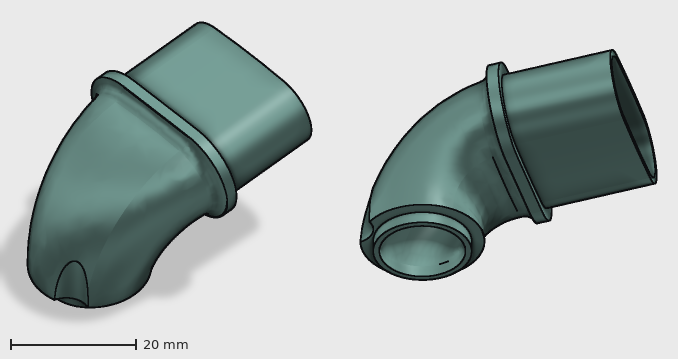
import cadquery as cq
import math

TILT = 5.0
WALL = 1.0
TUBE_HALF_WIDTH = 14.25
TUBE_HALF_HEIGHT = 6.75
TUBE_CORNER_ANGLE = 86.0
TUBE_LENGTH = 18.0

FLANGE_HALF_WIDTH = 16.25
FLANGE_HALF_HEIGHT = 8.55
FLANGE_CORNER_ANGLE = 89.7
FLANGE_THICKNESS = 2.0
FLANGE_Y = 15.0
FLANGE_Z = 16.35

NECK_LENGTH = 2.0
NECK_HALF_WIDTH = 14.0
NECK_HALF_HEIGHT = 7.33
NECK_CORNER_ANGLE = 85.0
NECK_DROP = 0.45
FLARE_INSET = 0.2
FLARE_START_ANGLE = 12.0
FLARE_SECTION_COUNT = 5

ELBOW_END_RADIUS = 9.95
SPIGOT_RADIUS = 15.8 / 2
BORE_RADIUS = 13.8 / 2
SPIGOT_LENGTH = 2.0
ROUND_CORNER_ANGLE = 45.0
BEND_SECTION_COUNT = 6
BEND_SAG = 0.3

NOTCH_RADIUS = 3.8
NOTCH_DISTANCE = 12.1
NOTCH_ANGLE = 30.0
NOTCH_HEIGHT = 13.65

tilt = math.radians(TILT)
axis_y, axis_z = math.cos(tilt), math.sin(tilt)
neck_y = FLANGE_Y - NECK_LENGTH * axis_y
neck_z = FLANGE_Z - NECK_LENGTH * axis_z

neck_distance = neck_z / math.cos(tilt)
pivot_y = neck_y + neck_distance * math.sin(tilt)

TUBE_SIZE = (TUBE_HALF_WIDTH, TUBE_HALF_HEIGHT, TUBE_CORNER_ANGLE)
NECK_SIZE = (NECK_HALF_WIDTH, NECK_HALF_HEIGHT, NECK_CORNER_ANGLE)
BORE_SIZE = (TUBE_HALF_WIDTH - WALL, TUBE_HALF_HEIGHT - WALL, TUBE_CORNER_ANGLE)


def oval(plane, half_width, half_height, corner_angle):
    """Oval of two end arcs joined tangentially by two shallow arcs.

    corner_angle is half the sweep of an end arc, in degrees.
    """
    cosine = math.cos(math.radians(corner_angle))
    sine = math.sin(math.radians(corner_angle))
    radius_difference = (half_width - half_height) / (sine + cosine - 1)
    side_x = radius_difference * cosine
    side_radius = half_width - side_x
    corner_x = side_x + side_radius * cosine
    corner_z = side_radius * sine
    return (
        cq.Workplane(plane)
        .moveTo(-corner_x, corner_z)
        .threePointArc((0, half_height), (corner_x, corner_z))
        .threePointArc((half_width, 0), (corner_x, -corner_z))
        .threePointArc((0, -half_height), (-corner_x, -corner_z))
        .threePointArc((-half_width, 0), (-corner_x, corner_z))
        .close()
    )


def socket_plane(offset, drop=0):
    """Plane across the socket axis, offset outward from the flange face and lowered by drop."""
    y = FLANGE_Y + offset * axis_y + drop * axis_z
    z = FLANGE_Z + offset * axis_z - drop * axis_y
    return cq.Plane(origin=(0, y, z), xDir=(-1, 0, 0), normal=(0, axis_y, axis_z))


def elbow_plane(fraction, start_distance):
    """Plane across the bend: 0 is the neck, 1 is the outlet."""
    angle = math.radians((90 - TILT) * (1 - fraction))
    distance = blend(start_distance, pivot_y, fraction) - BEND_SAG * math.sin(math.pi * fraction)
    origin = (0, pivot_y - distance * math.cos(angle), distance * math.sin(angle))
    normal = (0, math.sin(angle), math.cos(angle))
    return cq.Plane(origin=origin, xDir=(-1, 0, 0), normal=normal)


def blend(start, end, fraction):
    return start + (end - start) * fraction


def blend_sizes(start, end, fraction):
    return [blend(a, b, fraction) for a, b in zip(start, end)]


def bend(start_size, start_distance, end_radius):
    """Loft from an oval in the neck plane to a circle at the outlet."""
    end_size = (end_radius, end_radius, ROUND_CORNER_ANGLE)
    wires = []
    for i in range(BEND_SECTION_COUNT):
        fraction = i / (BEND_SECTION_COUNT - 1)
        plane = elbow_plane(fraction, start_distance)
        wires.append(oval(plane, *blend_sizes(start_size, end_size, fraction)).wires().val())
    return cq.Workplane(cq.Solid.makeLoft(wires))


def flared_neck():
    """Loft with a concave rounded profile from the flange face to the neck."""
    rim_size = (
        FLANGE_HALF_WIDTH - FLARE_INSET,
        FLANGE_HALF_HEIGHT - FLARE_INSET,
        FLANGE_CORNER_ANGLE,
    )
    start_angle = math.radians(FLARE_START_ANGLE)
    wires = []
    for i in range(FLARE_SECTION_COUNT):
        angle = blend(start_angle, math.pi / 2, i / (FLARE_SECTION_COUNT - 1))
        fraction = (math.sin(angle) - math.sin(start_angle)) / (1 - math.sin(start_angle))
        depth = NECK_LENGTH * (1 - math.cos(angle) / math.cos(start_angle))
        plane = socket_plane(-depth, NECK_DROP * fraction)
        wires.append(oval(plane, *blend_sizes(rim_size, NECK_SIZE, fraction)).wires().val())
    return cq.Workplane(cq.Solid.makeLoft(wires))


def socket():
    flange_size = (FLANGE_HALF_WIDTH, FLANGE_HALF_HEIGHT, FLANGE_CORNER_ANGLE)
    flange = oval(socket_plane(0), *flange_size).extrude(FLANGE_THICKNESS)
    tube = oval(socket_plane(FLANGE_THICKNESS), *TUBE_SIZE).extrude(TUBE_LENGTH)
    return flange.union(tube)


def socket_bore():
    length = NECK_LENGTH + FLANGE_THICKNESS + TUBE_LENGTH
    return oval(socket_plane(-NECK_LENGTH), *BORE_SIZE).extrude(length)


def notch():
    angle = math.radians(NOTCH_ANGLE)
    x = NOTCH_DISTANCE * math.sin(angle)
    y = -NOTCH_DISTANCE * math.cos(angle)
    return cq.Workplane("XY").center(x, y).circle(NOTCH_RADIUS).extrude(NOTCH_HEIGHT)


spigot = cq.Workplane("XY").circle(SPIGOT_RADIUS).extrude(-SPIGOT_LENGTH)
spigot_bore = cq.Workplane("XY").circle(BORE_RADIUS).extrude(-SPIGOT_LENGTH)

elbow = bend(NECK_SIZE, neck_distance - NECK_DROP, ELBOW_END_RADIUS)
elbow_bore = bend(BORE_SIZE, neck_distance, BORE_RADIUS)

outside = flared_neck().union(elbow).union(socket()).union(spigot).cut(notch())
result = outside.cut(elbow_bore).cut(socket_bore()).cut(spigot_bore)